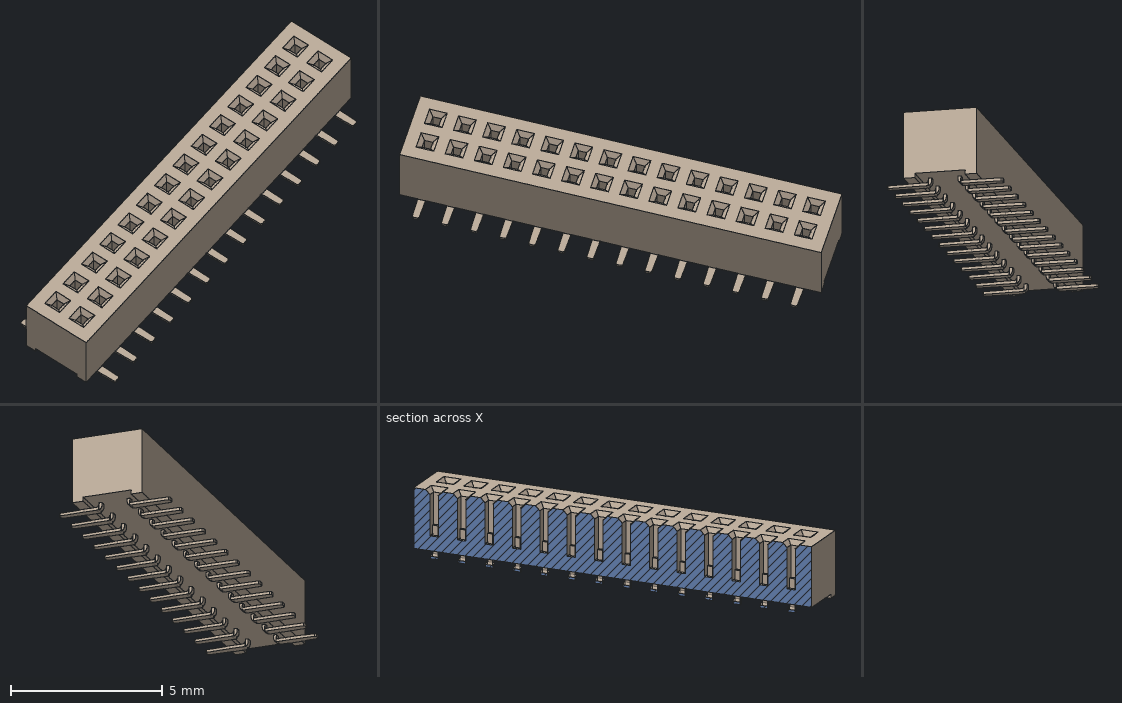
import cadquery as cq

body_length = 14.5
rows = 14
pitch = body_length / (rows + 0.5)
column_offset = pitch / 2

body_width = 2.5
total_height = 2.4
body_bottom = 0.13
foot_width = 0.39
foot_height = 0.15

socket_opening = 0.61
socket_hole = 0.29
funnel_depth = (socket_opening - socket_hole) / 2
socket_depth = 1.6

contact_span = 3.95
contact_thickness = 0.1
contact_width = 0.29
tip_width = 0.25
tip_chamfer = 0.05
taper_start = 1.07
bend_radius = 0.17
inner_bend_radius = bend_radius - contact_thickness
blade_width = 0.19
blade_top = 1.16

socket_floor = total_height - socket_depth
row_positions = [(row - (rows - 1) / 2) * pitch for row in range(rows)]


def make_body():
    """Rectangular block standing on two feet that run along its long edges."""
    body = cq.Workplane("XY").workplane(offset=body_bottom).rect(body_width, body_length)
    body = body.extrude(total_height - body_bottom)
    channel = cq.Workplane("XY").workplane(offset=body_bottom)
    channel = channel.rect(body_width - 2 * foot_width, body_length).extrude(foot_height)
    return body.cut(channel)


def make_socket():
    """Square funnel leading into a straight blind hole, centred on the Z axis."""
    funnel = (
        cq.Workplane("XY")
        .workplane(offset=total_height - funnel_depth)
        .rect(socket_hole, socket_hole)
        .workplane(offset=funnel_depth)
        .rect(socket_opening, socket_opening)
        .loft(ruled=True)
    )
    hole = cq.Workplane("XY").workplane(offset=socket_floor)
    hole = hole.rect(socket_hole, socket_hole).extrude(socket_depth - funnel_depth)
    return funnel.union(hole)


def make_contact():
    """L-shaped contact of the +X column: a blade rising into the socket and a tapered tail."""
    inner = column_offset - contact_thickness / 2
    outer = column_offset + contact_thickness / 2
    tail_end = contact_span / 2
    profile = (
        cq.Workplane("XZ")
        .moveTo(inner, blade_top)
        .lineTo(inner, bend_radius)
        .radiusArc((inner + bend_radius, 0), -bend_radius)
        .lineTo(tail_end, 0)
        .lineTo(tail_end, contact_thickness)
        .lineTo(outer + inner_bend_radius, contact_thickness)
        .radiusArc((outer, bend_radius), inner_bend_radius)
        .lineTo(outer, blade_top)
        .close()
        .extrude(contact_width / 2, both=True)
    )
    plan = (
        cq.Workplane("XY")
        .moveTo(inner, 0)
        .lineTo(inner, -blade_width / 2)
        .lineTo(outer, -blade_width / 2)
        .lineTo(outer, -contact_width / 2)
        .lineTo(taper_start, -contact_width / 2)
        .lineTo(tail_end - tip_chamfer, -tip_width / 2)
        .lineTo(tail_end, -tip_width / 2 + tip_chamfer)
        .lineTo(tail_end, 0)
        .mirrorX()
        .extrude(total_height)
    )
    return profile.intersect(plan).clean()


socket = make_socket()
contact = make_contact()
body = make_body()
for y in row_positions:
    for side in (-1, 1):
        body = body.cut(socket.translate((side * column_offset, y, 0)))
for y in row_positions:
    body = body.union(contact.translate((0, y, 0)))
    body = body.union(contact.mirror("YZ").translate((0, y, 0)))
result = body